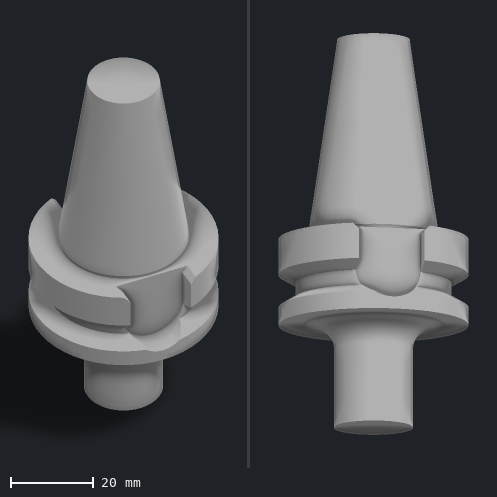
import cadquery as cq
import math

total_height = 95.4
flange_bottom = 25.2
lower_rim_top = 29.5
groove_bottom = 31.7
groove_top = 35.5
upper_rim_bottom = 37.6
flange_top = 46.3
neck_top = 46.8
gauge_height = 47.2

nose_radius = 19.2 / 2
flange_radius = 46.0 / 2
groove_edge_radius = 19.4
groove_radius = 18.9
neck_radius = 31.2 / 2
gauge_radius = 31.8 / 2
taper_tip_radius = 17.6 / 2

blend_radius = 5.0
blend_start = 19.5
underside_angle = math.radians(15)

slot_width = 16.2
slot_bottom = 28.1
slot_floor = 16.2
slot_chamfer = 1.4


def blend_point(angle):
    """Point on the blend arc; angle is measured from its tangent point on the nose."""
    radius = nose_radius + blend_radius * (1 - math.cos(angle))
    return radius, blend_start + blend_radius * math.sin(angle)


def turned_body():
    """Revolve the half profile, with the axis of the holder along Z."""
    blend_sweep = math.pi / 2 - underside_angle
    blend_end = blend_point(blend_sweep)
    underside_rise = flange_bottom - blend_end[1]
    underside_radius = blend_end[0] + underside_rise / math.tan(underside_angle)
    return (
        cq.Workplane("XZ")
        .lineTo(nose_radius, 0)
        .lineTo(nose_radius, blend_start)
        .threePointArc(blend_point(blend_sweep / 2), blend_end)
        .lineTo(underside_radius, flange_bottom)
        .lineTo(flange_radius, flange_bottom)
        .lineTo(flange_radius, lower_rim_top)
        .lineTo(groove_edge_radius, groove_bottom)
        .lineTo(groove_radius, groove_bottom)
        .lineTo(groove_radius, groove_top)
        .lineTo(groove_edge_radius, groove_top)
        .lineTo(flange_radius, upper_rim_bottom)
        .lineTo(flange_radius, flange_top)
        .lineTo(neck_radius, flange_top)
        .lineTo(neck_radius, neck_top)
        .lineTo(gauge_radius, gauge_height)
        .lineTo(taper_tip_radius, total_height)
        .lineTo(0, total_height)
        .close()
        .revolve(360, (0, 0), (0, 1))
    )


def drive_slot(side):
    """Round-bottomed slot with a chamfered mouth; side is +1 or -1 along X."""
    half_width = slot_width / 2
    mouth_half_width = half_width + slot_chamfer
    arc_center = slot_bottom + half_width
    slot_depth = flange_radius - slot_floor
    return (
        cq.Workplane("YZ", origin=(side * slot_floor, 0, 0))
        .moveTo(-mouth_half_width, flange_top)
        .lineTo(-half_width, flange_top - slot_chamfer)
        .lineTo(-half_width, arc_center)
        .threePointArc((0, slot_bottom), (half_width, arc_center))
        .lineTo(half_width, flange_top - slot_chamfer)
        .lineTo(mouth_half_width, flange_top)
        .close()
        .extrude(side * slot_depth)
    )


result = turned_body()
for side in (-1, 1):
    result = result.cut(drive_slot(side))